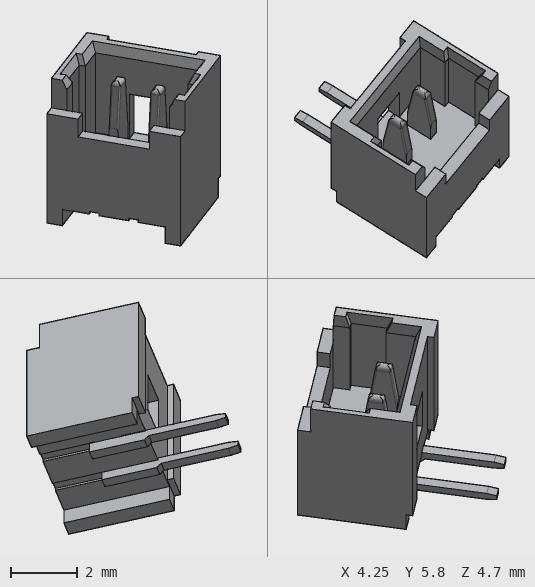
import cadquery as cq

width = 4.25
depth = 3.5
height = 4.7
leg_width = 0.495
channel_height = 0.55
floor_top = 1.7

cavity_width = width - 2 * leg_width
front_wall = 0.4
cavity_back = 2.9
key_slot_front = 0.905
key_slot_back = 2.0
key_slot_depth = 0.19
lead_in_width = 0.15
lead_in_height = 0.3

front_step = 1.0
front_notch_width = 2.26
front_notch_drop = 1.6
window_width = 1.1
window_drop = 1.5
back_recess_width = 2.84
back_recess_depth = 0.2

pin_pitch = 1.25
pin_width = 0.3
pin_drop = 0.05
post_front = 1.7
post_depth = 0.85
shoulder_z = 2.62
post_top = 4.09
tip_depth = 0.45
tip_radius = 0.15
taper_edge_radius = 0.045
foot_bottom = 0.23
foot_reach = 0.15
foot_back = 3.265
tail_top = 0.63
tail_height = 0.26
tail_end = 5.8
tail_point_length = 0.3
tail_point_inset = 0.045

recessed_back = depth - back_recess_depth
post_back = post_front + post_depth
post_middle = post_front + post_depth / 2
tail_bottom = tail_top - tail_height
pin_places = [(-pin_pitch / 2, 0), (pin_pitch / 2, -pin_drop)]


def block(x_size, y_range, z_range, x_center=0):
    """Box centred on x_center and spanning the given Y and Z ranges."""
    y_min, y_max = y_range
    z_min, z_max = z_range
    box = cq.Workplane("XY").box(x_size, y_max - y_min, z_max - z_min, centered=(True, False, False))
    return box.translate((x_center, y_min, z_min))


def cavity_points(growth):
    """Cavity plan with a key slot in each side wall, all sides moved outward by growth."""
    half = cavity_width / 2 + growth
    slot_half = half + key_slot_depth
    right_side = [
        (half, front_wall - growth),
        (half, key_slot_front - growth),
        (slot_half, key_slot_front - growth),
        (slot_half, key_slot_back + growth),
        (half, key_slot_back + growth),
        (half, cavity_back + growth),
    ]
    left_side = [(-x, y) for x, y in reversed(right_side)]
    return right_side + left_side


def make_cavity():
    """Straight cavity plus the sloped lead-in that widens towards the top."""
    lead_in_bottom = height - lead_in_height
    straight = (
        cq.Workplane("XY", origin=(0, 0, floor_top))
        .polyline(cavity_points(0))
        .close()
        .extrude(lead_in_bottom - floor_top)
    )
    lead_in = (
        cq.Workplane("XY", origin=(0, 0, lead_in_bottom))
        .polyline(cavity_points(0))
        .close()
        .workplane(offset=lead_in_height)
        .polyline(cavity_points(lead_in_width))
        .close()
        .loft(ruled=True)
    )
    return straight.union(lead_in)


def make_housing():
    full_depth = (0, depth)
    body = block(width, full_depth, (0, height))

    body = body.cut(block(width, (0, front_wall), (height - front_step, height)))
    body = body.cut(block(front_notch_width, (0, front_wall), (height - front_notch_drop, height)))

    body = body.cut(block(back_recess_width, (recessed_back, depth), (0, height)))
    body = body.cut(block(width, (recessed_back, depth), (0, tail_top)))

    body = body.cut(block(cavity_width, full_depth, (0, channel_height)))

    body = body.cut(make_cavity())
    body = body.cut(block(window_width, (cavity_back, depth), (floor_top, height - window_drop)))

    for x, _ in pin_places:
        body = body.cut(block(pin_width, full_depth, (0, tail_top), x))
        body = body.cut(block(pin_width, (post_front, post_back), (0, floor_top), x))
    return body


def make_post_envelope():
    """Tapered, round-tipped bar that trims the post; it runs down past the shoulder."""
    inset = (post_depth - tip_depth) / 2
    slope = inset / (post_top - shoulder_z)
    base_half = post_depth / 2 + slope * shoulder_z
    tip_half = tip_depth / 2
    envelope = (
        cq.Workplane("YZ")
        .polyline([
            (post_middle - base_half, 0),
            (post_middle + base_half, 0),
            (post_middle + tip_half, post_top),
            (post_middle - tip_half, post_top),
        ])
        .close()
        .extrude(pin_width / 2, both=True)
    )
    rounded_ends = envelope.faces(">Z").edges("|X").fillet(tip_radius)
    arched = (
        cq.Workplane("XZ")
        .moveTo(-pin_width / 2, 0)
        .lineTo(pin_width / 2, 0)
        .lineTo(pin_width / 2, post_top - pin_width / 2)
        .threePointArc((0, post_top), (-pin_width / 2, post_top - pin_width / 2))
        .close()
        .extrude(-tail_end)
    )
    long_edges = cq.selectors.BoxSelector(
        (-pin_width, 0, foot_bottom), (pin_width, tail_end, post_top - tip_radius)
    )
    return rounded_ends.edges(long_edges).fillet(taper_edge_radius).intersect(arched)


def make_pin():
    """L-shaped pin standing at X = 0: upright post, foot and pointed tail."""
    post = block(pin_width, (post_front, post_back), (tail_top, post_top))
    post = post.intersect(make_post_envelope())
    foot_and_tail = (
        cq.Workplane("YZ")
        .polyline([
            (post_front - foot_reach, foot_bottom),
            (foot_back, foot_bottom),
            (foot_back + tail_bottom - foot_bottom, tail_bottom),
            (tail_end - tail_point_length, tail_bottom),
            (tail_end, tail_bottom + tail_point_inset),
            (tail_end, tail_top - tail_point_inset),
            (tail_end - tail_point_length, tail_top),
            (post_front - foot_reach, tail_top),
        ])
        .close()
        .extrude(pin_width / 2, both=True)
    )
    return post.union(foot_and_tail)


housing = make_housing()
pin = make_pin()
pins = [pin.translate((x, 0, z)) for x, z in pin_places]

result = cq.Compound.makeCompound([housing.val(), *[placed.val() for placed in pins]])